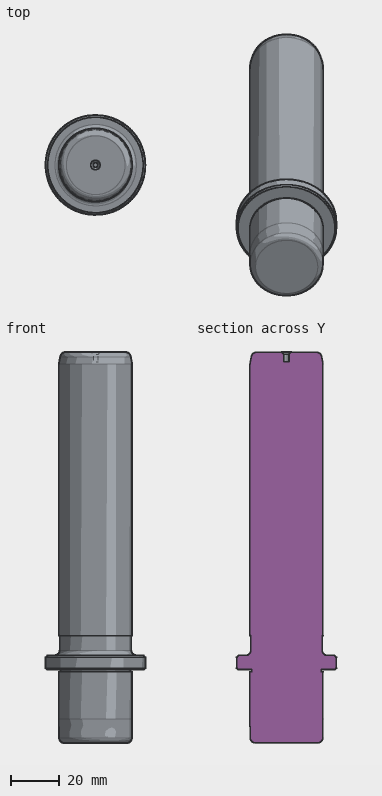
import cadquery as cq
import math

LENGTH = 160.0
SHAFT_R = 15.0
NECK_R = 14.7

FLANGE_R = 20.5
FLANGE_BOTTOM = 30.0
FLANGE_TOP = 36.0
FLANGE_TOP_CHAMFER = 1.0
FLANGE_BOTTOM_CHAMFER = 0.6

NECK_TOP = 44.0
NECK_FILLET = 2.0
LOWER_RELIEF_R = 14.4
LOWER_RELIEF_HEIGHT = 0.8

LEAD_START = 155.0
NOSE_FLAT_R = 12.0
NOSE_RADIUS = 2.5
LEAD_ANGLE = 10.0

PILOT_HEIGHT = 10.0
PILOT_TAPER = 0.08
PILOT_R = SHAFT_R - PILOT_TAPER
PILOT_FILLET = 2.2

CENTRE_R = 1.0
CENTRE_MOUTH_R = 2.0
CENTRE_DEPTH = 4.0


def arc_midpoint(centre, radius, start_angle, end_angle):
    """Point halfway along an arc given by its angles in degrees."""
    angle = math.radians((start_angle + end_angle) / 2)
    return (centre[0] + radius * math.cos(angle), centre[1] + radius * math.sin(angle))


def make_body():
    """Revolve the half section, drawn as (radius, height), about Z."""
    lead = math.radians(LEAD_ANGLE)
    nose_centre = (NOSE_FLAT_R, LENGTH - NOSE_RADIUS)
    nose_end_r = NOSE_FLAT_R + NOSE_RADIUS * math.cos(lead)
    nose_end_z = nose_centre[1] + NOSE_RADIUS * math.sin(lead)
    pilot_centre = (PILOT_R - PILOT_FILLET, PILOT_FILLET)
    neck_centre = (NECK_R + NECK_FILLET, FLANGE_TOP + NECK_FILLET)
    relief_bottom = FLANGE_BOTTOM - LOWER_RELIEF_HEIGHT

    section = (
        cq.Workplane("XZ")
        .lineTo(pilot_centre[0], 0)
        .threePointArc(arc_midpoint(pilot_centre, PILOT_FILLET, -90, 0), (PILOT_R, PILOT_FILLET))
        .lineTo(SHAFT_R, PILOT_HEIGHT)
        .lineTo(SHAFT_R, relief_bottom)
        .lineTo(LOWER_RELIEF_R, relief_bottom)
        .lineTo(LOWER_RELIEF_R, FLANGE_BOTTOM)
        .lineTo(FLANGE_R - FLANGE_BOTTOM_CHAMFER, FLANGE_BOTTOM)
        .lineTo(FLANGE_R, FLANGE_BOTTOM + FLANGE_BOTTOM_CHAMFER)
        .lineTo(FLANGE_R, FLANGE_TOP - FLANGE_TOP_CHAMFER)
        .lineTo(FLANGE_R - FLANGE_TOP_CHAMFER, FLANGE_TOP)
        .lineTo(neck_centre[0], FLANGE_TOP)
        .threePointArc(arc_midpoint(neck_centre, NECK_FILLET, 180, 270), (NECK_R, neck_centre[1]))
        .lineTo(NECK_R, NECK_TOP)
        .lineTo(SHAFT_R, NECK_TOP)
        .lineTo(SHAFT_R, LEAD_START)
        .lineTo(nose_end_r, nose_end_z)
        .threePointArc(arc_midpoint(nose_centre, NOSE_RADIUS, LEAD_ANGLE, 90), (NOSE_FLAT_R, LENGTH))
        .lineTo(0, LENGTH)
        .close()
    )
    return section.revolve(360, (0, 0), (0, 1))


def drill_centre(body):
    """Drill a blind hole with a 90 degree countersink into the upper end."""
    return (
        body.faces(">Z")
        .workplane(origin=(0, 0, LENGTH))
        .cskHole(2 * CENTRE_R, 2 * CENTRE_MOUTH_R, 90, depth=CENTRE_DEPTH)
    )


result = drill_centre(make_body())